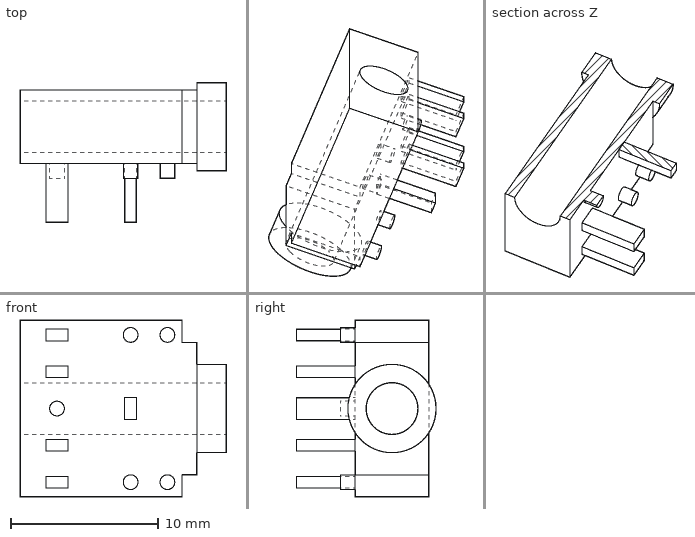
import cadquery as cq


body_length = 11.0
body_depth = 5.0
body_height = 12.0
step_length = 1.0
step_height = 9.0
barrel_length = 2.0
barrel_diameter = 6.0
bore_diameter = 3.5
board_face_y = -body_depth / 2
step_end_x = body_length + step_length
overall_length = step_end_x + barrel_length

peg_diameter = 1.0
peg_length = 1.0
row_z = 5.0
rear_column_x = 2.5
middle_column_x = 7.5
front_column_x = 10.0
peg_positions = [(rear_column_x, 0)]
for column_x in (middle_column_x, front_column_x):
    for peg_z in (-row_z, row_z):
        peg_positions.append((column_x, peg_z))

terminal_length = 4.0
terminal_width = 1.5
terminal_thickness = 0.8
contact_z_positions = (-row_z, -row_z / 2, row_z / 2, row_z)


def x_cylinder(diameter, start_x, end_x):
    """Cylinder on the plug axis from start_x to end_x."""
    return cq.Workplane("YZ", origin=(start_x, 0, 0)).circle(diameter / 2).extrude(end_x - start_x)


def board_face():
    """Workplane on the board face: local x is X, local y is Z, normal is -Y."""
    return cq.Workplane("XZ", origin=(0, board_face_y, 0))


def make_housing():
    """Block with a stepped nose, plug barrel, through bore and locating pegs."""
    block = cq.Workplane("XY").box(body_length, body_depth, body_height, centered=(False, True, True))
    step = cq.Workplane("XY").box(step_end_x, body_depth, step_height, centered=(False, True, True))
    barrel = x_cylinder(barrel_diameter, step_end_x, overall_length)
    bore = x_cylinder(bore_diameter, 0, overall_length)
    pegs = board_face().pushPoints(peg_positions).circle(peg_diameter / 2).extrude(peg_length)
    return block.union(step).union(barrel).cut(bore).union(pegs)


def make_terminal(x, z, size_x, size_z):
    """Straight rectangular terminal standing on the board face."""
    return board_face().center(x, z).rect(size_x, size_z).extrude(terminal_length)


housing = make_housing()

contact_terminals = []
for contact_z in contact_z_positions:
    contact = make_terminal(rear_column_x, contact_z, terminal_width, terminal_thickness)
    contact_terminals.append(contact.val())

ground_terminal = make_terminal(middle_column_x, 0, terminal_thickness, terminal_width)

result = cq.Compound.makeCompound([housing.val(), *contact_terminals, ground_terminal.val()])